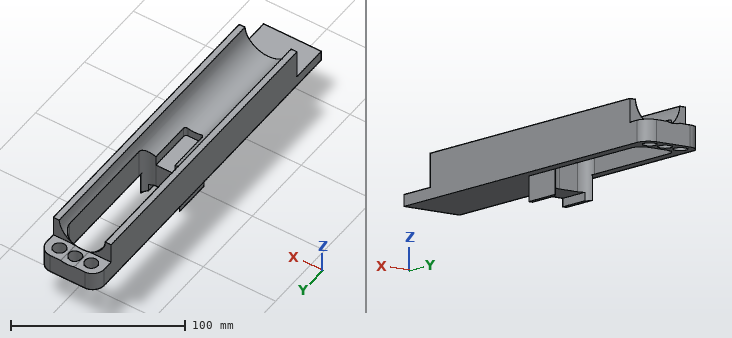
import cadquery as cq

width = 40.0
length = 230.0
body_height = 27.0
back_y = length / 2
front_y = -length / 2

tongue_length = 25.0
tongue_height = 7.0
block_length = 15.0
block_height = 13.0
back_corner_radius = 8.0

trough_radius = 16.0
trough_floor = 12.3

hole_diameter = 8.5
hole_spacing = 11.0
hole_y = back_y - back_corner_radius

window_width = 27.0
window_length = 85.0
window_corner_radius = 7.0
window_back_y = back_y - block_length
window_front_y = window_back_y - window_length
pocket_width = 13.0
pocket_length = 30.0
pocket_floor = 7.0
pocket_corner_radius = 2.0

foot_width = 27.0
foot_length = 25.0
foot_height = 15.0
foot_setback = 94.75
foot_back_y = back_y - foot_setback
channel_width = 21.5
channel_depth = 5.0


def box(size_x, y_start, y_end, z_start, z_end):
    """Box centred on X = 0 between the given Y and Z limits."""
    return (
        cq.Workplane("XY", origin=(0, (y_start + y_end) / 2, z_start))
        .rect(size_x, y_end - y_start)
        .extrude(z_end - z_start)
    )


def make_body():
    """Stepped bar with rounded back corners and the trough cut along it."""
    profile = [
        (front_y, 0),
        (back_y, 0),
        (back_y, block_height),
        (back_y - block_length, block_height),
        (back_y - block_length, body_height),
        (front_y + tongue_length, body_height),
        (front_y + tongue_length, tongue_height),
        (front_y, tongue_height),
    ]
    bar = cq.Workplane("YZ").polyline(profile).close().extrude(width / 2, both=True)
    bar = bar.edges("|Z and >Y").fillet(back_corner_radius)
    trough = (
        cq.Workplane("XZ", origin=(0, back_y, 0))
        .center(0, trough_floor + trough_radius)
        .circle(trough_radius)
        .extrude(length)
    )
    return bar.cut(trough)


def make_foot():
    """Block under the body with a channel running along Y."""
    foot_front_y = foot_back_y - foot_length
    foot = box(foot_width, foot_front_y, foot_back_y, -foot_height, 0)
    channel_top = -foot_height + channel_depth
    return foot.cut(box(channel_width, foot_front_y, foot_back_y, -foot_height, channel_top))


def make_window():
    """Rounded opening through the trough floor and the foot below it."""
    window = box(window_width, window_front_y, window_back_y, -foot_height, body_height)
    return window.edges("|Z").fillet(window_corner_radius)


def make_pocket():
    """Flat-floored recess running forward from the window."""
    pocket_front_y = window_front_y - pocket_length
    pocket = box(pocket_width, pocket_front_y, window_front_y, pocket_floor, body_height)
    return pocket.edges("|Z and <Y").fillet(pocket_corner_radius)


def make_holes():
    """Row of three vertical holes across the back block."""
    positions = [(column * hole_spacing, hole_y) for column in (-1, 0, 1)]
    return cq.Workplane("XY").pushPoints(positions).circle(hole_diameter / 2).extrude(body_height)


result = (
    make_body()
    .union(make_foot())
    .cut(make_window())
    .cut(make_pocket())
    .cut(make_holes())
)